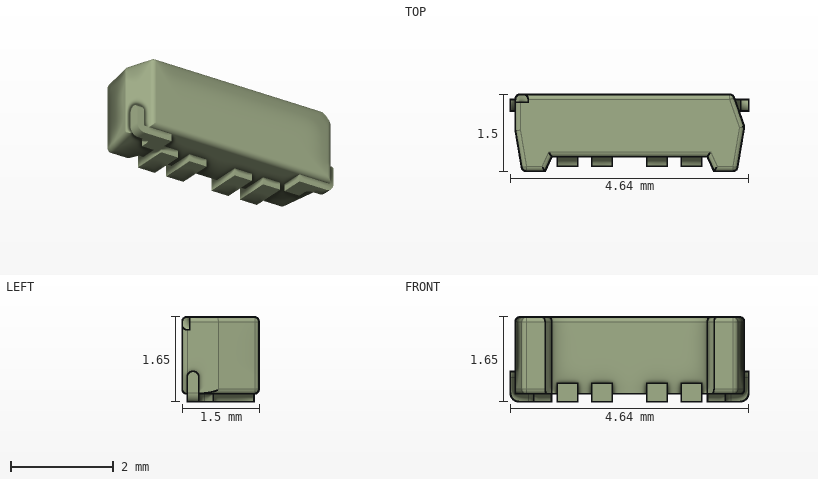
import cadquery as cq

overall_length = 4.64
overall_height = 1.65

body_length = 4.47
body_depth = 1.5
lead_thickness = 0.155
body_bottom = lead_thickness
body_height = overall_height - body_bottom
edge_radius = 0.097

back = body_depth / 2
front = -body_depth / 2
half_body = body_length / 2

widest_y = back - 0.63
front_half_length = 2.09
taper_slope = (half_body - front_half_length) / (widest_y - front)
back_half_length = front_half_length + taper_slope * body_depth

slope_inset = 0.225
flat_wall_front = back - 0.7
flat_wall_x = -front_half_length - taper_slope * (flat_wall_front - front)

recess_depth = 0.285
recess_inner_half = 1.513
recess_outer_half = 1.643
recess_floor = front + recess_depth

mark_size = 0.25
mark_depth = 0.155

pad_centers = (0.535, 1.205)
pad_width = 0.405
pad_height = 0.355
pad_front = back - 1.4

lead_back = back - edge_radius
lead_width = 0.23
lead_front = lead_back - lead_width
lead_height = 0.595
lead_bend_radius = 0.175
foot_front = back - 0.605
foot_outer = 1.86
foot_inner = recess_inner_half
foot_corner_radius = 0.105


def prism(points, bottom, height):
    """Extrude a closed outline in plan upward from the given level."""
    return cq.Workplane("XY").workplane(offset=bottom).polyline(points).close().extrude(height)


def make_body():
    body = prism(
        [
            (-back_half_length, back),
            (back_half_length, back),
            (front_half_length, front),
            (-front_half_length, front),
        ],
        body_bottom,
        body_height,
    )
    body = body.edges("|Z and <Y").fillet(edge_radius)
    body = body.faces("<Z").edges("not >Y").fillet(edge_radius)

    trim = prism(
        [
            (flat_wall_x, back),
            (half_body - slope_inset, back),
            (half_body, widest_y),
            (half_body, front),
            (flat_wall_x, front),
        ],
        body_bottom,
        body_height,
    )
    body = body.intersect(trim)

    recess = prism(
        [
            (-recess_outer_half, front),
            (-recess_inner_half, recess_floor),
            (recess_inner_half, recess_floor),
            (recess_outer_half, front),
        ],
        body_bottom,
        body_height,
    )
    body = body.cut(recess)

    rim = body.faces(">Z").edges().add(body.faces(">Y").edges("not >Z"))
    return body.newObject(rim.vals()).fillet(edge_radius)


def make_pin_mark():
    """Corner wedge removed at 45 degrees to mark pin 1."""
    return (
        cq.Workplane("XZ", origin=(0, back, 0))
        .polyline(
            [
                (flat_wall_x, overall_height),
                (flat_wall_x + mark_size, overall_height),
                (flat_wall_x, overall_height - mark_size),
            ]
        )
        .close()
        .extrude(mark_depth)
    )


def make_pad(center):
    """Rectangular pad reaching forward from under the body."""
    return prism(
        [
            (center - pad_width / 2, pad_front),
            (center + pad_width / 2, pad_front),
            (center + pad_width / 2, foot_front),
            (center - pad_width / 2, foot_front),
        ],
        0,
        pad_height,
    )


def make_lead():
    """L-shaped lead on the +X end: wide foot below, round-ended tab up the end wall."""
    tip = overall_length / 2
    tab_radius = lead_width / 2
    foot = prism(
        [
            (foot_inner, lead_back),
            (tip, lead_back),
            (tip, lead_front),
            (foot_outer, lead_front),
            (foot_outer, foot_front),
            (foot_inner, foot_front),
        ],
        0,
        lead_thickness,
    )
    inner_corner = cq.selectors.NearestToPointSelector((foot_outer, lead_front, lead_thickness / 2))
    foot = foot.edges(inner_corner).fillet(foot_corner_radius)

    tab = (
        cq.Workplane("YZ", origin=(tip - lead_thickness, 0, 0))
        .moveTo(lead_front, 0)
        .lineTo(lead_back, 0)
        .lineTo(lead_back, lead_height - tab_radius)
        .threePointArc((lead_back - tab_radius, lead_height), (lead_front, lead_height - tab_radius))
        .close()
        .extrude(lead_thickness)
    )
    return foot.union(tab).edges("|Y and >X and <Z").fillet(lead_bend_radius)


result = make_body().cut(make_pin_mark())

for distance in pad_centers:
    for center in (-distance, distance):
        result = result.union(make_pad(center))

lead = make_lead()
result = result.union(lead).union(lead.mirror("YZ"))